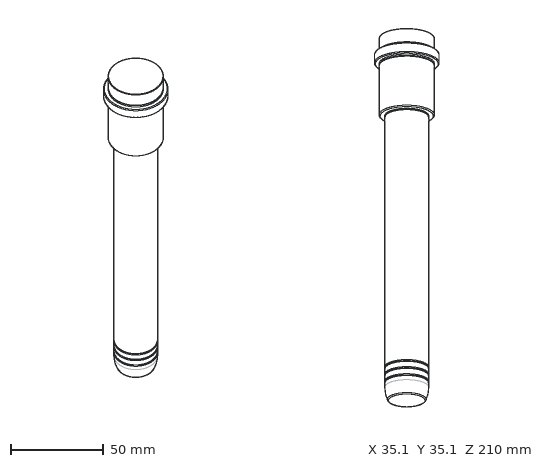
import cadquery as cq

total_length = 210.0
sleeve_bottom = 164.8
flange_bottom = 195.0
flange_top = 201.0

shank_radius = 12.0
sleeve_radius = 15.02
flange_radius = 17.54

head_chamfer = 0.32
flange_chamfer = 0.52
sleeve_chamfer = 0.6

relief_width = 1.3
relief_depth = 0.32
shank_relief_width = 0.8

nose_height = 7.5
tip_radius = 10.5
tip_chamfer = 0.6
nose_bulge = 0.38

first_groove_height = 10.5
groove_pitch = 4.1
groove_count = 3
groove_width = 1.0
groove_depth = 0.32


def cylinder(radius, bottom, top):
    """Solid cylinder on the Z axis between two heights."""
    return cq.Workplane("XY").workplane(offset=bottom).circle(radius).extrude(top - bottom)


def vee_ring(radius, depth, bottom, width):
    """Triangular ring whose removal leaves a V groove in a cylinder of the given radius."""
    middle = bottom + width / 2
    return (
        cq.Workplane("XZ")
        .moveTo(radius - depth, middle)
        .lineTo(radius, bottom)
        .lineTo(radius, bottom + width)
        .close()
        .revolve(360, (0, 0, 0), (0, 1, 0))
    )


def make_shank():
    """Long pin with a convex, chamfered nose."""
    middle_radius = (shank_radius + tip_radius) / 2 + nose_bulge
    middle_height = (nose_height + tip_chamfer) / 2
    return (
        cq.Workplane("XZ")
        .lineTo(tip_radius - tip_chamfer, 0)
        .lineTo(tip_radius, tip_chamfer)
        .threePointArc((middle_radius, middle_height), (shank_radius, nose_height))
        .lineTo(shank_radius, sleeve_bottom)
        .lineTo(0, sleeve_bottom)
        .close()
        .revolve(360, (0, 0, 0), (0, 1, 0))
    )


shank = make_shank()
for index in range(groove_count):
    groove_bottom = first_groove_height + index * groove_pitch - groove_width / 2
    shank = shank.cut(vee_ring(shank_radius, groove_depth, groove_bottom, groove_width))
shank_relief_bottom = sleeve_bottom - shank_relief_width
shank = shank.cut(vee_ring(shank_radius, relief_depth, shank_relief_bottom, shank_relief_width))

sleeve = cylinder(sleeve_radius, sleeve_bottom, total_length)
sleeve = sleeve.faces("<Z").chamfer(sleeve_chamfer)
sleeve = sleeve.faces(">Z").chamfer(head_chamfer)
for relief_bottom in (flange_bottom - relief_width, flange_top):
    sleeve = sleeve.cut(vee_ring(sleeve_radius, relief_depth, relief_bottom, relief_width))

flange = cylinder(flange_radius, flange_bottom, flange_top).faces("<Z or >Z").chamfer(flange_chamfer)

result = shank.union(sleeve).union(flange)